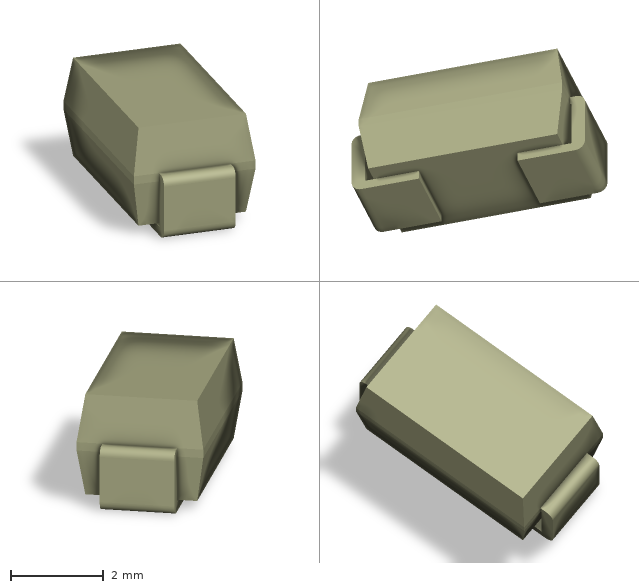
import cadquery as cq

body_length = 4.605
body_width = 2.79
taper_inset = 0.165
body_bottom = 0.205
band_bottom = 1.25
band_top = 1.44
body_top = 2.49

overall_length = 5.28
lead_width = 1.64
wall_thickness = 0.305
foot_thickness = body_bottom
foot_end = 1.115
upper_bend_radius = band_top - band_bottom
lower_bend_radius = 0.22


def make_body():
    """Straight band with a tapered half above and a tapered half below."""
    end_length = body_length - 2 * taper_inset
    end_width = body_width - 2 * taper_inset
    band = (
        cq.Workplane("XY", origin=(0, 0, band_bottom))
        .rect(body_length, body_width)
        .extrude(band_top - band_bottom)
    )
    upper = (
        cq.Workplane("XY", origin=(0, 0, band_top))
        .rect(body_length, body_width)
        .workplane(offset=body_top - band_top)
        .rect(end_length, end_width)
        .loft(ruled=True)
    )
    lower = (
        cq.Workplane("XY", origin=(0, 0, body_bottom))
        .rect(end_length, end_width)
        .workplane(offset=band_bottom - body_bottom)
        .rect(body_length, body_width)
        .loft(ruled=True)
    )
    return band.union(upper).union(lower)


def make_lead(side):
    """C-shaped lead on the given side (-1 or +1) whose arm meets the band."""
    outer = overall_length / 2
    inner = outer - wall_thickness
    arm_end = body_length / 2
    outline = [
        (arm_end, band_top),
        (outer, band_top),
        (outer, 0),
        (foot_end, 0),
        (foot_end, foot_thickness),
        (inner, foot_thickness),
        (inner, band_bottom),
        (arm_end, band_bottom),
    ]
    lead = (
        cq.Workplane("XZ")
        .polyline([(side * x, z) for x, z in outline])
        .close()
        .extrude(lead_width / 2, both=True)
    )
    outer_edge = ">X" if side > 0 else "<X"
    lead = lead.faces(">Z").edges(outer_edge).fillet(upper_bend_radius)
    return lead.faces("<Z").edges(outer_edge).fillet(lower_bend_radius)


body = make_body()
leads = [make_lead(side) for side in (-1, 1)]

result = cq.Compound.makeCompound([body.val(), *[lead.val() for lead in leads]])